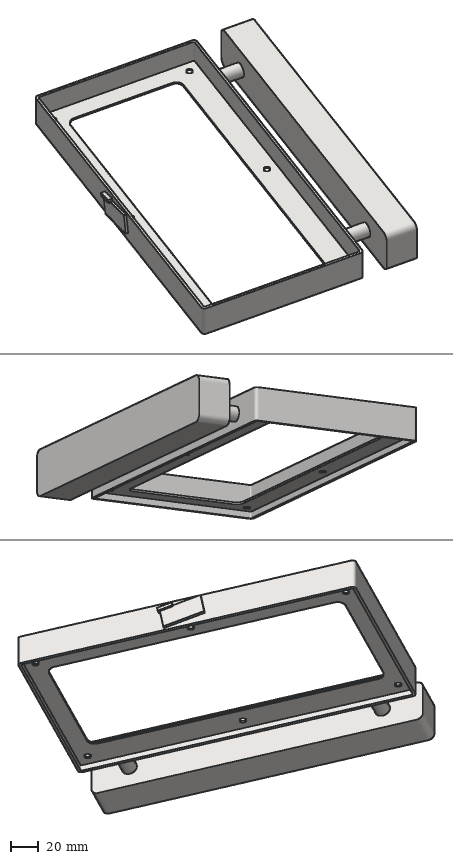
import cadquery as cq

frame_length = 260.0
frame_width = 132.0
frame_height = 25.0
frame_corner_radius = 2.5
cavity_corner_radius = 1.0
wall_thickness = 2.0
floor_thickness = 1.5
floor_recess = 5.0

window_length = 228.3
window_width = 92.5
window_corner_radius = 6.0
window_center_y = -1.5

hole_diameter = 5.0
hole_pitch_x = 119.5
hole_pitch_y = 111.8
hole_center_y = -0.3

bar_length = 255.5
bar_width = 25.0
bar_height = 35.0
bar_edge_radius = 5.2
bar_gap = 20.0
pin_diameter = 11.5
pin_spacing = 195.0
pin_center_x = -0.8
pin_center_z = -0.8

plate_length = 32.0
plate_height = 16.0
plate_thickness = 2.0
plate_center_x = -2.5
plate_tilt = 10.0
tab_length = 11.5
tab_height = 2.9
tab_center_x = -15.3
tab_center_z = 6.5
tab_rise = 1.3

frame_back_y = frame_width / 2
frame_front_y = -frame_width / 2
bar_front_y = frame_back_y + bar_gap


def make_rounded_block(length, width, height, corner_radius):
    """Centred block with rounded upright corners."""
    return cq.Workplane("XY").box(length, width, height).edges("|Z").fillet(corner_radius)


def make_frame():
    """Walls hollowed out above and below the floor."""
    frame = make_rounded_block(frame_length, frame_width, frame_height, frame_corner_radius)
    cavity = make_rounded_block(
        frame_length - 2 * wall_thickness,
        frame_width - 2 * wall_thickness,
        frame_height,
        cavity_corner_radius,
    )
    upper_cavity = cavity.translate((0, 0, floor_recess + floor_thickness))
    lower_cavity = cavity.translate((0, 0, floor_recess - frame_height))
    return frame.cut(upper_cavity).cut(lower_cavity)


def make_window():
    """Cutter for the rounded rectangular opening in the floor."""
    window = make_rounded_block(window_length, window_width, frame_height, window_corner_radius)
    return window.translate((0, window_center_y, 0))


def make_screw_holes():
    """Cutters for the three by two pattern of floor holes."""
    return (
        cq.Workplane("XY", origin=(0, hole_center_y, 0))
        .rarray(hole_pitch_x, hole_pitch_y, 3, 2)
        .circle(hole_diameter / 2)
        .extrude(-frame_height)
    )


def make_bar():
    """Rear bar with its four end edges rounded along Y."""
    bar = cq.Workplane("XY").box(bar_length, bar_width, bar_height)
    bar = bar.edges("|Y").fillet(bar_edge_radius)
    return bar.translate((0, bar_front_y + bar_width / 2, 0))


def make_pins():
    """Two pins bridging the gap between the back wall and the bar."""
    return (
        cq.Workplane("XZ", origin=(pin_center_x, frame_back_y, pin_center_z))
        .rarray(pin_spacing, 2.5, 2, 1)
        .circle(pin_diameter / 2)
        .extrude(-bar_gap)
    )


def make_tilted_plate(length, height, thickness, center_x, center_z):
    """Rectangular plate standing out from the front wall, tilted up to the right."""
    return (
        cq.Workplane("XZ", origin=(center_x, frame_front_y, center_z))
        .transformed(rotate=(0, 0, plate_tilt))
        .rect(length, height)
        .extrude(thickness)
    )


nameplate = make_tilted_plate(plate_length, plate_height, plate_thickness, plate_center_x, 0)
tab = make_tilted_plate(tab_length, tab_height, plate_thickness + tab_rise, tab_center_x, tab_center_z)

result = make_frame().cut(make_window()).cut(make_screw_holes())
result = result.union(make_pins()).union(make_bar())
result = result.union(nameplate).union(tab)